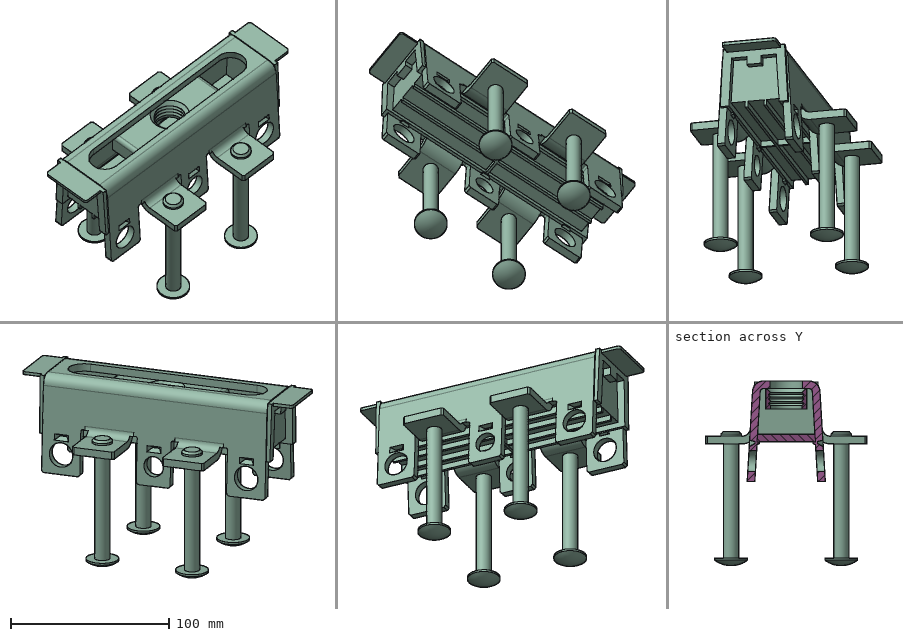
import cadquery as cq
import math


SHEET = 5.0
RAIL_LENGTH = 152.2
RAIL_TOP_HALF_WIDTH = 21.0
WALL_LEAN = math.radians(3.4)
RAIL_INNER_BEND = 2.2
RAIL_DEPTH = 63.7
SLOT_LENGTH = 134.0
SLOT_WIDTH = 20.5

WALL_BOTTOM = -32.5
END_LEG_WIDTH = 26.1
MIDDLE_LEG_WIDTH = 23.0
LEG_CHAMFER = 1.3
NOTCH_RADIUS = 1.3
LEG_HOLE_Z = -50.8
END_HOLE_DIAMETER = 15.8
MIDDLE_HOLE_DIAMETER = 13.0

FLANGE_Y = 30.5
FLANGE_TOP = -35.0
FLANGE_REACH = 51.0
FLANGE_WIDTH = 28.3
FLANGE_ROOT_WIDTH = 33.1
FLANGE_BEND = 5.2
FLANGE_CHAMFER = 1.3

OVERALL_LENGTH = 184.0
COVER_TOP = -0.65
COVER_BOTTOM = -38.7
SKIRT_WALL = 1.8
END_WALL = 2.5
FRAME_LENGTH = 158.0
FRAME_DRAFT = 0.5
FRAME_TOP_HALF_WIDTH = 20.0
FRAME_LEAN = math.radians(3)
RECESS_DEPTH = 5.2
RECESS_TOP = -6.8
TAB_WIDTH = 9.2
TAB_BOTTOM = -12.0
FLOOR_TOP = -33.7
FLOOR_BOTTOM = -35.0
RIB_THICKNESS = 1.7
RIB_SPACING = 12.3
EAR_WIDTH = 35.2
EAR_THICKNESS = 2.0
EAR_RADIUS = 2.0

DENT_WIDTH = 9.8
DENT_HEIGHT = 4.0
DENT_FLOOR_WIDTH = 4.6
DENT_FLOOR_HEIGHT = 1.1
DENT_TOP = -37.5
DENT_FLOOR_TOP = -38.5
DENT_DEPTH = 3.7
DENT_WALL = 3.0

BLOCK_LENGTH = 76.5
BLOCK_WIDTH = 26.0
BLOCK_HEIGHT = 12.9
BLOCK_ROUND = 2.8
BLOCK_Y = 1.8
THREAD_MINOR = 19.9
THREAD_MAJOR = 22.5
THREAD_PITCH = 2.8
COUNTERSINK = 24.8

STUD_X = 34.8
STUD_DIAMETER = 9.8
STUD_BOTTOM = -116.9
STUD_FOOT_DIAMETER = 20.8
STUD_FOOT_RIM = 1.3
STUD_FOOT_DOME = 3.5
STUD_HEAD_DIAMETER = 13.0
STUD_HEAD_HEIGHT = 2.8
STUD_HEAD_CHAMFER = 1.5

WALL_ACROSS = SHEET / math.cos(WALL_LEAN)
RAIL_OUTER_BEND = RAIL_INNER_BEND + SHEET
END_LEG_Y = (RAIL_LENGTH - END_LEG_WIDTH) / 2
LEG_CENTRES = (-END_LEG_Y, 0, END_LEG_Y)
SIDES = (-1, 1)
TURNS = (0, 180)
MARGIN = 0.2
BEYOND = 184.0


def rail_outer(z):
    """Half width of the rail's outer faces at height z."""
    return RAIL_TOP_HALF_WIDTH - z * math.tan(WALL_LEAN)


def rail_inner(z):
    return rail_outer(z) - WALL_ACROSS


def cover_inner(z):
    return rail_inner(z) - SKIRT_WALL


def block_between(x0, x1, y0, y1, z0, z1):
    """Box between two opposite corners."""
    return cq.Workplane("XY").box(x1 - x0, y1 - y0, z1 - z0, centered=False).translate((x0, y0, z0))


def bar_along_y(points, length, y=0):
    """Prism with the (x, z) outline `points`, centred on y."""
    return cq.Workplane("XZ", origin=(0, y, 0)).polyline(points).close().extrude(length / 2, both=True)


def edges_near(z):
    """Selector for edges centred at height z."""
    return cq.selectors.BoxSelector((-BEYOND, -BEYOND, z - MARGIN), (BEYOND, BEYOND, z + MARGIN))


def turned(shape, angle):
    """Copy of `shape` turned about the Z axis."""
    return shape.rotate((0, 0, 0), (0, 0, 1), angle)


def tapered_bar(half_width, top, bottom, length, y=0):
    """Prism along Y whose half width follows the function `half_width` of height."""
    points = [
        (-half_width(bottom), bottom),
        (-half_width(top), top),
        (half_width(top), top),
        (half_width(bottom), bottom),
    ]
    return bar_along_y(points, length, y)


def rail_section():
    inner_bottom = -RAIL_DEPTH - SHEET * math.sin(WALL_LEAN)
    inner_x = rail_outer(-RAIL_DEPTH) - SHEET * math.cos(WALL_LEAN)
    right = [
        (rail_inner(-SHEET), -SHEET),
        (inner_x, inner_bottom),
        (rail_outer(-RAIL_DEPTH), -RAIL_DEPTH),
        (rail_outer(0), 0),
    ]
    left = [(-x, z) for x, z in reversed(right)]
    channel = bar_along_y(right + left, RAIL_LENGTH)
    channel = channel.faces(">Z").edges("|Y").fillet(RAIL_OUTER_BEND)
    return channel.edges("|Y").edges(edges_near(-SHEET)).fillet(RAIL_INNER_BEND)


def wall_outline():
    """Side outline of the walls and their legs, filled across the rail."""
    outline = block_between(
        -BEYOND, BEYOND, -RAIL_LENGTH / 2, RAIL_LENGTH / 2, WALL_BOTTOM, BEYOND
    )
    for y in LEG_CENTRES:
        width = END_LEG_WIDTH if y else MIDDLE_LEG_WIDTH
        leg = block_between(
            -BEYOND, BEYOND, y - width / 2, y + width / 2, -RAIL_DEPTH, WALL_BOTTOM
        )
        outline = outline.union(leg.faces("<Z").edges("|X").chamfer(LEG_CHAMFER))
    return outline.edges("|X").edges(edges_near(WALL_BOTTOM)).fillet(NOTCH_RADIUS)


def flange(y):
    """Flange on the +X wall: the wall sheet bent outward to horizontal."""
    normal_x = math.cos(WALL_LEAN)
    normal_z = math.sin(WALL_LEAN)
    bend_z = FLANGE_TOP + FLANGE_BEND
    bend_x = rail_outer(bend_z - FLANGE_BEND * normal_z) + FLANGE_BEND * normal_x
    half_turn = math.radians(225) + WALL_LEAN / 2

    def on_bend(radius, angle):
        return bend_x + radius * math.cos(angle), bend_z + radius * math.sin(angle)

    wall_angle = math.pi + WALL_LEAN
    outside = FLANGE_BEND + SHEET
    strip = (
        cq.Workplane("XZ", origin=(0, y, 0))
        .moveTo(FLANGE_REACH, FLANGE_TOP)
        .lineTo(bend_x, FLANGE_TOP)
        .threePointArc(on_bend(FLANGE_BEND, half_turn), on_bend(FLANGE_BEND, wall_angle))
        .lineTo(*on_bend(outside, wall_angle))
        .threePointArc(on_bend(outside, half_turn), (bend_x, FLANGE_TOP - SHEET))
        .lineTo(FLANGE_REACH, FLANGE_TOP - SHEET)
        .close()
        .extrude(FLANGE_ROOT_WIDTH / 2, both=True)
    )
    root = block_between(
        0, BEYOND, y - FLANGE_ROOT_WIDTH / 2, y + FLANGE_ROOT_WIDTH / 2, WALL_BOTTOM, 0
    )
    plate = block_between(
        0, FLANGE_REACH, y - FLANGE_WIDTH / 2, y + FLANGE_WIDTH / 2, FLANGE_TOP - SHEET, WALL_BOTTOM
    )
    plate = plate.faces(">X").edges("|Z").chamfer(FLANGE_CHAMFER)
    stud_hole = cq.Workplane("XY").circle(STUD_DIAMETER / 2).extrude(-BEYOND).translate((STUD_X, y, 0))
    return strip.intersect(root.union(plate)).cut(stud_hole)


def flange_gap(y):
    """Part of the +X wall that was bent out to make a flange."""
    bend_start = FLANGE_TOP + FLANGE_BEND - (FLANGE_BEND + SHEET) * math.sin(WALL_LEAN)
    return block_between(
        0, BEYOND, y - FLANGE_ROOT_WIDTH / 2, y + FLANGE_ROOT_WIDTH / 2, -BEYOND, bend_start
    )


def dent_shape(y, shift):
    """Tapered dent into the +X leg; `shift` moves it inward."""
    mouth_x = rail_outer(DENT_TOP - DENT_HEIGHT) - shift
    mouth_z = DENT_TOP - DENT_HEIGHT / 2
    floor_z = DENT_FLOOR_TOP - DENT_FLOOR_HEIGHT / 2
    return (
        cq.Workplane("YZ", origin=(mouth_x, y, mouth_z))
        .rect(DENT_WIDTH, DENT_HEIGHT)
        .workplane(offset=-DENT_DEPTH)
        .center(0, floor_z - mouth_z)
        .rect(DENT_FLOOR_WIDTH, DENT_FLOOR_HEIGHT)
        .loft(ruled=True)
    )


def dent_bulge(y):
    """Metal pushed inward by a dent, flat where the cover rests on it."""
    below_cover = block_between(-BEYOND, BEYOND, -BEYOND, BEYOND, -BEYOND, COVER_BOTTOM)
    return dent_shape(y, DENT_WALL).intersect(below_cover)


def make_rail():
    rail = rail_section().intersect(wall_outline())
    slot = cq.Workplane("XY").slot2D(SLOT_LENGTH, SLOT_WIDTH, 90).extrude(-2 * SHEET)
    rail = rail.cut(slot)
    for y in LEG_CENTRES:
        diameter = END_HOLE_DIAMETER if y else MIDDLE_HOLE_DIAMETER
        hole = cq.Workplane("YZ", origin=(0, y, LEG_HOLE_Z)).circle(diameter / 2)
        rail = rail.cut(hole.extrude(BEYOND, both=True))
    for turn in TURNS:
        for y in (-FLANGE_Y, FLANGE_Y):
            rail = rail.cut(turned(flange_gap(y), turn)).union(turned(flange(y), turn))
        for y in LEG_CENTRES:
            rail = rail.union(turned(dent_bulge(y), turn)).cut(turned(dent_shape(y, 0), turn))
    return rail


def frame_half_width(z):
    return FRAME_TOP_HALF_WIDTH - z * math.tan(FRAME_LEAN)


def end_frame():
    """Plate against the -Y end of the rail, its face drafted inward going down."""
    top_y = -FRAME_LENGTH / 2
    bottom_y = top_y + FRAME_DRAFT
    back_y = -RAIL_LENGTH / 2
    side_outline = [
        (top_y, COVER_TOP),
        (back_y, COVER_TOP),
        (back_y, COVER_BOTTOM),
        (bottom_y, COVER_BOTTOM),
    ]
    drafted = cq.Workplane("YZ").polyline(side_outline).close().extrude(BEYOND, both=True)
    return tapered_bar(frame_half_width, COVER_TOP, COVER_BOTTOM, FRAME_LENGTH).intersect(drafted)


def ear():
    """Thin nailing ear at the -Y end, level with the top of the frame."""
    plate = block_between(
        -EAR_WIDTH / 2, EAR_WIDTH / 2,
        -OVERALL_LENGTH / 2, -RAIL_LENGTH / 2,
        COVER_TOP - EAR_THICKNESS, COVER_TOP,
    )
    return plate.faces("<Y").edges("|Z").fillet(EAR_RADIUS)


def end_recess():
    """Recess in the -Y end, open at the bottom, with a tab left hanging from its top edge."""
    front_y = -FRAME_LENGTH / 2
    recess = tapered_bar(cover_inner, RECESS_TOP, COVER_BOTTOM, 2 * RECESS_DEPTH, front_y)
    tab = block_between(
        -TAB_WIDTH / 2, TAB_WIDTH / 2, front_y, front_y + RECESS_DEPTH, TAB_BOTTOM, RECESS_TOP
    )
    return recess.cut(tab)


def make_cover():
    recess_face = FRAME_LENGTH / 2 - RECESS_DEPTH
    inside_length = 2 * (recess_face - END_WALL)
    cover = tapered_bar(rail_inner, -SHEET, COVER_BOTTOM, RAIL_LENGTH)
    cover = cover.faces(">Z").edges("|Y").fillet(RAIL_INNER_BEND)
    cover = cover.cut(block_between(
        -BEYOND, BEYOND, -inside_length / 2, inside_length / 2, FLOOR_TOP, BEYOND
    ))
    cover = cover.cut(tapered_bar(cover_inner, FLOOR_BOTTOM, COVER_BOTTOM, RAIL_LENGTH))
    for side in SIDES:
        rib_x = side * RIB_SPACING / 2
        cover = cover.union(block_between(
            rib_x - RIB_THICKNESS / 2, rib_x + RIB_THICKNESS / 2,
            -recess_face, recess_face,
            COVER_BOTTOM, FLOOR_BOTTOM,
        ))
    cover = cover.union(tapered_bar(cover_inner, FLOOR_BOTTOM, COVER_BOTTOM, RIB_THICKNESS))
    for turn in TURNS:
        end = end_frame().union(ear()).cut(end_recess())
        cover = cover.cut(turned(end_recess(), turn))
        cover = cover.union(turned(end, turn))
    return cover


def make_block():
    top = -SHEET
    block = block_between(
        -BLOCK_WIDTH / 2, BLOCK_WIDTH / 2,
        BLOCK_Y - BLOCK_LENGTH / 2, BLOCK_Y + BLOCK_LENGTH / 2,
        top - BLOCK_HEIGHT, top,
    )
    block = block.faces(">Z").edges("|X").fillet(BLOCK_ROUND)
    minor = THREAD_MINOR / 2
    major = THREAD_MAJOR / 2
    mouth = COUNTERSINK / 2
    z = top - (mouth - minor)
    outline = [(0, top), (mouth, top), (minor, z)]
    while z - THREAD_PITCH > top - BLOCK_HEIGHT:
        outline += [(major, z - THREAD_PITCH / 2), (minor, z - THREAD_PITCH)]
        z -= THREAD_PITCH
    outline += [(minor, top - BLOCK_HEIGHT), (0, top - BLOCK_HEIGHT)]
    bore = cq.Workplane("XZ").polyline(outline).close().revolve(360, (0, 0, 0), (0, 1, 0))
    return block.cut(bore.translate((0, BLOCK_Y, 0)))


def make_stud(x, y):
    foot = STUD_FOOT_DIAMETER / 2
    shank = STUD_DIAMETER / 2
    head = STUD_HEAD_DIAMETER / 2
    rim_bottom = STUD_BOTTOM + STUD_FOOT_DOME
    rim_top = rim_bottom + STUD_FOOT_RIM
    head_top = FLANGE_TOP + STUD_HEAD_HEIGHT
    dome_radius = (foot**2 + STUD_FOOT_DOME**2) / (2 * STUD_FOOT_DOME)
    dome_mid_x = foot / 2
    dome_mid_z = STUD_BOTTOM + dome_radius - math.sqrt(dome_radius**2 - dome_mid_x**2)
    stud = (
        cq.Workplane("XZ")
        .moveTo(0, STUD_BOTTOM)
        .threePointArc((dome_mid_x, dome_mid_z), (foot, rim_bottom))
        .lineTo(foot, rim_top)
        .lineTo(shank, rim_top)
        .lineTo(shank, FLANGE_TOP)
        .lineTo(head, FLANGE_TOP)
        .lineTo(head, head_top - STUD_HEAD_CHAMFER)
        .lineTo(head - STUD_HEAD_CHAMFER, head_top)
        .lineTo(0, head_top)
        .close()
        .revolve(360, (0, 0, 0), (0, 1, 0))
    )
    return stud.translate((x, y, 0))


rail = make_rail()
cover = make_cover()
block = make_block()
studs = [make_stud(x * STUD_X, y * FLANGE_Y) for x in SIDES for y in SIDES]

result = cq.Compound.makeCompound(
    [*rail.solids().vals(), *cover.solids().vals(), *block.solids().vals(), *[stud.val() for stud in studs]]
)